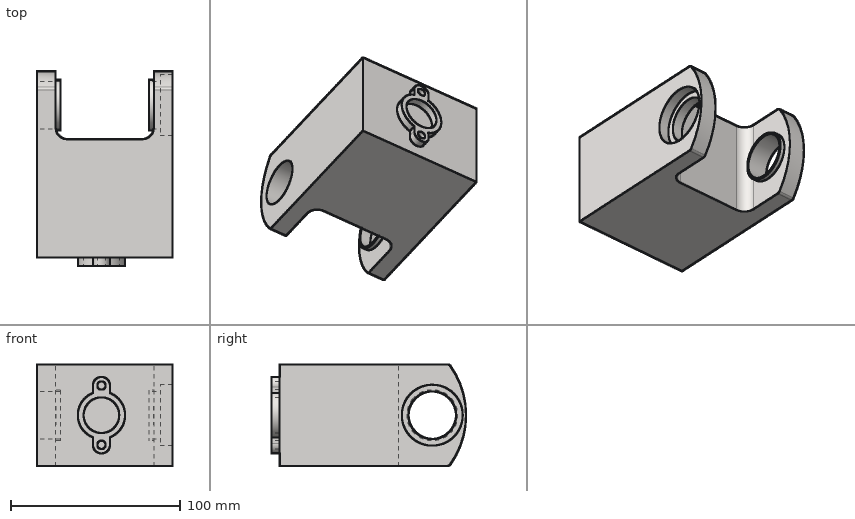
import cadquery as cq

width = 80.0
height = 60.0
total_length = 115
boss_height = 5.0
body_length = total_length - boss_height

arm_thickness = 11.0
slot_depth = 40.0
slot_corner_radius = 7.0
arm_end_radius = 50.0
arm_corner_radius = 2.0

pivot_diameter = 28.0
pivot_setback = 20.0
collar_diameter = 30.0
collar_height = 3.0

recess_diameter = 36.0
recess_depth = 7.0

boss_x = -2.0
boss_diameter = 28.0
bore_diameter = 21.0
lug_diameter = 10.1
lug_neck_width = 10.0
lug_offset = 17.5
lug_hole_diameter = 5.0

slot_width = width - 2 * arm_thickness
pivot_y = body_length - pivot_setback


def make_block():
    """Extrude the side outline, whose back end is a rounded arc."""
    half_height = height / 2
    arc_rise = arm_end_radius - (arm_end_radius**2 - half_height**2) ** 0.5
    shoulder_y = body_length - arc_rise
    block = (
        cq.Workplane("YZ")
        .moveTo(0, -half_height)
        .lineTo(shoulder_y, -half_height)
        .threePointArc((body_length, 0), (shoulder_y, half_height))
        .lineTo(0, half_height)
        .close()
        .extrude(width / 2, both=True)
    )
    return block.edges("|X").edges(">Y").fillet(arm_corner_radius)


def make_slot():
    """Opening between the arms, with rounded inner corners."""
    return (
        cq.Workplane("XY")
        .center(0, body_length - slot_depth / 2)
        .rect(slot_width, slot_depth)
        .extrude(height, both=True)
        .edges("|Z and <Y")
        .fillet(slot_corner_radius)
    )


def pivot_cylinder(diameter, length):
    """Cylinder on the pivot axis, centred between the arms."""
    return (
        cq.Workplane("YZ")
        .center(pivot_y, 0)
        .circle(diameter / 2)
        .extrude(length / 2, both=True)
    )


def make_collars():
    collar_gap = slot_width - 2 * collar_height
    return pivot_cylinder(collar_diameter, slot_width).cut(
        pivot_cylinder(collar_diameter, collar_gap)
    )


def make_recess():
    return (
        cq.Workplane("YZ", origin=(width / 2, 0, 0))
        .center(pivot_y, 0)
        .circle(recess_diameter / 2)
        .extrude(-recess_depth)
    )


def make_boss():
    """Round boss with a lug above and below; its holes stop at the block face."""
    face = cq.Workplane("XZ").center(boss_x, 0)
    lug_centres = [(0, -lug_offset), (0, lug_offset)]
    necks = face.rect(lug_neck_width, 2 * lug_offset).extrude(boss_height)
    lugs = face.pushPoints(lug_centres).circle(lug_diameter / 2).extrude(boss_height)
    body = face.circle(boss_diameter / 2).extrude(boss_height).union(necks).union(lugs)
    bore = face.circle(bore_diameter / 2).extrude(boss_height)
    lug_holes = face.pushPoints(lug_centres).circle(lug_hole_diameter / 2).extrude(boss_height)
    return body.cut(bore).cut(lug_holes)


result = (
    make_block()
    .cut(make_slot())
    .union(make_collars())
    .cut(pivot_cylinder(pivot_diameter, width))
    .cut(make_recess())
    .union(make_boss())
)